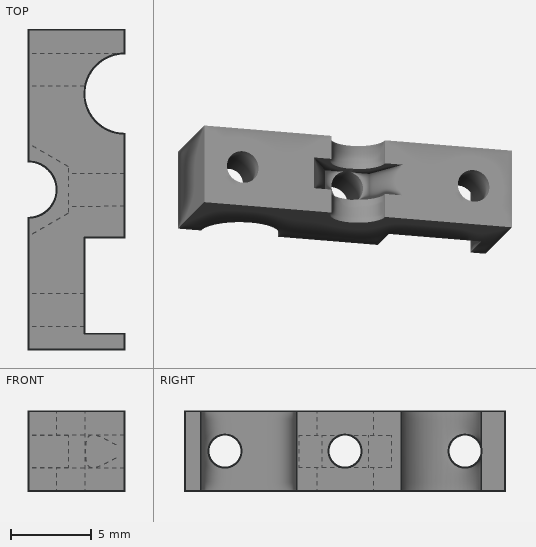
import cadquery as cq
import math

width = 6.0
length = 20.0
height = 5.0

hole_diameter = 2.05
hole_spacing = 7.5

notch_diameter = 3.5

hex_across_flats = 5.0
hex_slot_height = 2.0
hex_across_corners = hex_across_flats / math.cos(math.radians(30))

cutout_depth = 2.5
round_cutout_y = 6.0
square_cutout_length = 6.0
end_wall = 1.0


def make_block():
    return cq.Workplane("XY").box(width, length, height, centered=(False, True, True))


def make_cross_holes():
    positions = [(-hole_spacing, 0), (0, 0), (hole_spacing, 0)]
    return cq.Workplane("YZ").pushPoints(positions).circle(hole_diameter / 2).extrude(width)


def make_round_cut(x, y, radius):
    """Full-height cylinder with its axis along Z."""
    return cq.Workplane("XY").center(x, y).circle(radius).extrude(height / 2, both=True)


def make_hex_slot():
    return (
        cq.Workplane("XY")
        .transformed(rotate=(0, 0, 90))
        .polygon(6, hex_across_corners)
        .extrude(hex_slot_height / 2, both=True)
    )


def make_square_cutout():
    centre_y = -length / 2 + end_wall + square_cutout_length / 2
    return (
        cq.Workplane("XY")
        .center(width, centre_y)
        .rect(2 * cutout_depth, square_cutout_length)
        .extrude(height / 2, both=True)
    )


result = (
    make_block()
    .cut(make_cross_holes())
    .cut(make_round_cut(0, 0, notch_diameter / 2))
    .cut(make_hex_slot())
    .cut(make_round_cut(width, round_cutout_y, cutout_depth))
    .cut(make_square_cutout())
)